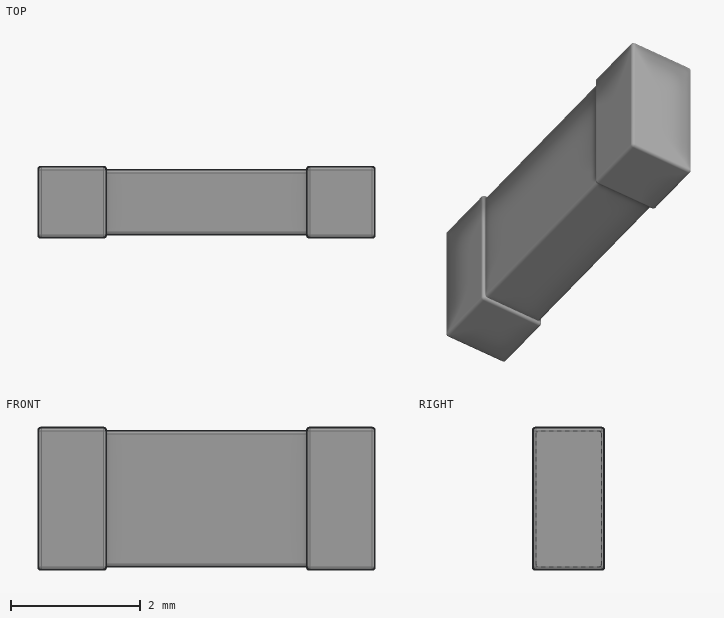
import cadquery as cq

overall_length = 5.2
cap_length = 1.05
cap_depth = 1.1
cap_height = 2.2
edge_radius = 0.045

cap_step = edge_radius
core_length = overall_length - 2 * cap_length
core_depth = cap_depth - 2 * cap_step
core_height = cap_height - 2 * cap_step
cap_center_x = (overall_length - cap_length) / 2


def make_core():
    """Plain bar between the caps, with its four long edges rounded."""
    return cq.Workplane("XY").box(core_length, core_depth, core_height).edges("|X").fillet(edge_radius)


def make_end_cap(center_x):
    """Terminal block with all twelve edges rounded, butted against one end of the core."""
    block = cq.Workplane("XY").box(cap_length, cap_depth, cap_height)
    return block.edges().fillet(edge_radius).translate((center_x, 0, 0))


core = make_core()
end_caps = [make_end_cap(side * cap_center_x) for side in (-1, 1)]

result = cq.Compound.makeCompound([core.val(), *[cap.val() for cap in end_caps]])